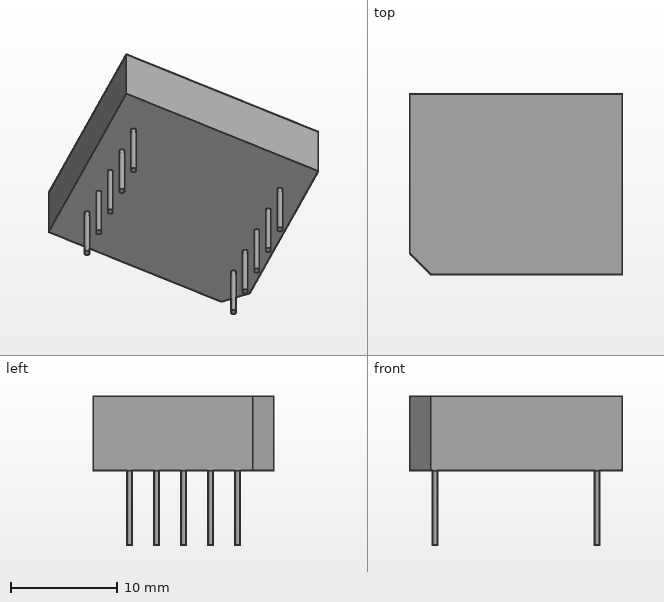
import cadquery as cq

body_length = 20.0
body_width = 17.0
body_height = 7.0
corner_chamfer = 2.0

pin_length = 7.0
pin_diameter = 0.5
pin_pitch = 2.55
row_spacing = 6 * pin_pitch
pins_per_row = 5


def make_body():
    """Block standing on Z = 0 with the pin-one corner cut off."""
    block = cq.Workplane("XY").box(
        body_length, body_width, body_height, centered=(True, True, False)
    )
    return block.edges("|Z and <X and <Y").chamfer(corner_chamfer)


def make_pins():
    """Both pin rows, hanging from the underside of the body."""
    return (
        cq.Workplane("XY")
        .rarray(row_spacing, pin_pitch, 2, pins_per_row)
        .circle(pin_diameter / 2)
        .extrude(-pin_length)
    )


result = make_body().union(make_pins())